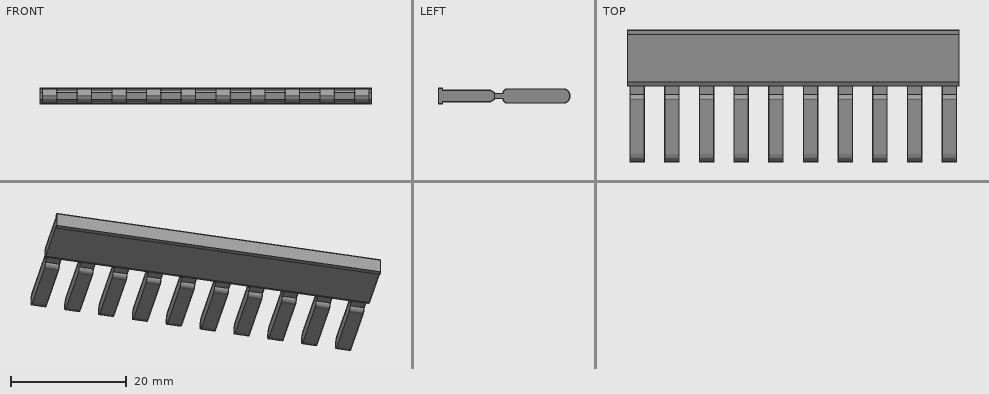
import math

import cadquery as cq

total_length = 57.4
total_depth = 22.75
total_height = 2.7

bar_depth = 9.65
bar_height = 2.0
flange_depth = 0.7
bevel_drop = 0.4
bevel_angle = 30.0

finger_count = 10
finger_pitch = 6.0
finger_size = 2.5
neck_length = 1.5
neck_height = 0.9
tip_flat_height = 0.1

back_y = total_depth / 2
tip_y = -total_depth / 2
bar_front_y = back_y - bar_depth
finger_back_y = bar_front_y - neck_length
bevel_depth = bevel_drop / math.tan(math.radians(bevel_angle))
bevel_start_y = bar_front_y + bevel_depth
shoulder_radius = (finger_size - neck_height) / 2
tip_radius = (finger_size - tip_flat_height) / 2
first_finger_x = -finger_pitch * (finger_count - 1) / 2


def box_between(back, front, width, height):
    """Box spanning two Y positions, centred on X = 0 and Z = 0."""
    middle = (back + front) / 2
    return cq.Workplane("XY").box(width, back - front, height).translate((0, middle, 0))


def make_bar():
    """Bar body with bevelled front edges and the back flange."""
    half_height = bar_height / 2
    edge_height = half_height - bevel_drop
    profile = cq.Workplane("YZ").polyline([
        (back_y, half_height),
        (bevel_start_y, half_height),
        (bar_front_y, edge_height),
        (bar_front_y, -edge_height),
        (bevel_start_y, -half_height),
        (back_y, -half_height),
    ]).close()
    body = profile.extrude(total_length / 2, both=True)
    flange = box_between(back_y, back_y - flange_depth, total_length, total_height)
    return body.union(flange)


def make_finger():
    """One finger with rounded shoulders and tip, plus its neck."""
    blade = box_between(finger_back_y, tip_y, finger_size, finger_size)
    blade = blade.faces(">Y").edges("|X").fillet(shoulder_radius)
    blade = blade.faces("<Y").edges("|X").fillet(tip_radius)
    neck_front_y = finger_back_y - shoulder_radius
    neck = box_between(bevel_start_y, neck_front_y, finger_size, neck_height)
    return blade.union(neck)


result = make_bar()
finger = make_finger()
for index in range(finger_count):
    finger_x = first_finger_x + index * finger_pitch
    result = result.union(finger.translate((finger_x, 0, 0)))